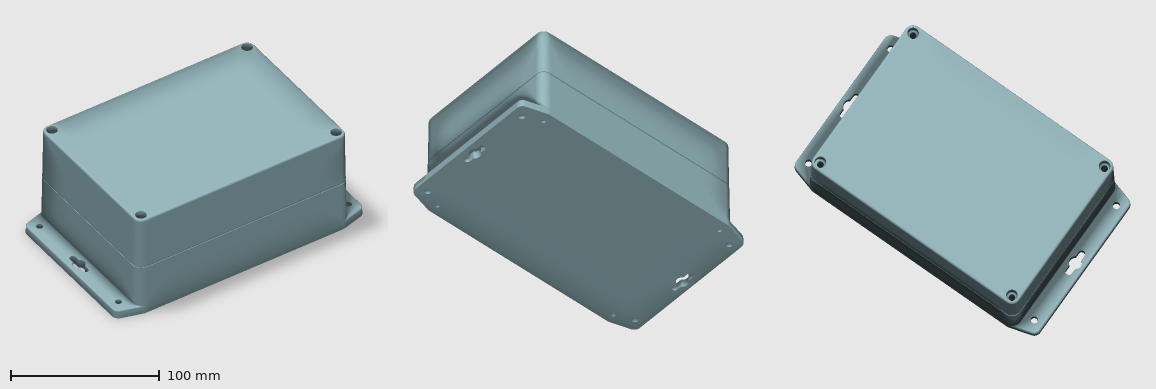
import cadquery as cq
import math

WIDTH = 122.5
BOX_LENGTH = 172.0
TOTAL_LENGTH = 201.0
HEIGHT = 80.0
BASE_HEIGHT = 40.5
DRAFT = 1.0
CORNER_RADIUS = 7.2
LID_FILLET = 1.5

GROOVE_HEIGHT = 1.5
GROOVE_DEPTH = 0.5

FLANGE_HEIGHT = 6.6
FLANGE_FILLET = 1.2
WALL_FILLET = 0.5
FLANGE_END_WIDTH = 111.0
SLANT_START = 80.5
FLANGE_CORNER_RADIUS = 5.0
SLANT_BLEND_RADIUS = 5.5

MOUNT_Y = 92.9
MOUNT_HOLE_X = 47.8
MOUNT_HOLE_DIAMETER = 4.8
SLOT_LENGTH = 19.5
SLOT_WIDTH = 4.6
SLOT_CENTER_DIAMETER = 8.8

SCREW_X = WIDTH / 2 - CORNER_RADIUS
SCREW_Y = BOX_LENGTH / 2 - CORNER_RADIUS
SCREW_HEAD_DIAMETER = 7.8
SCREW_HEAD_DEPTH = 8.0
SCREW_CLEARANCE_DIAMETER = 4.6
SCREW_PILOT_DIAMETER = 3.5

SCREW_POINTS = [(sx * SCREW_X, sy * SCREW_Y) for sx in (-1, 1) for sy in (-1, 1)]


def drafted_block(bottom, top, inset=0.0):
    """Slice of the drafted, round-cornered box between two heights."""
    shrink = inset + bottom * math.tan(math.radians(DRAFT))
    outline = cq.Sketch().rect(WIDTH - 2 * shrink, BOX_LENGTH - 2 * shrink)
    outline = outline.vertices().fillet(CORNER_RADIUS - shrink)
    block = cq.Workplane("XY").workplane(offset=bottom).placeSketch(outline)
    return block.extrude(top - bottom, taper=DRAFT)


def flange_plate():
    """Bottom plate whose two tapering ends stand out past the box."""
    end_x = FLANGE_END_WIDTH / 2
    end_y = TOTAL_LENGTH / 2
    side_x = WIDTH / 2
    outline = cq.Sketch().polygon([
        (-side_x, -SLANT_START), (-end_x, -end_y), (end_x, -end_y), (side_x, -SLANT_START),
        (side_x, SLANT_START), (end_x, end_y), (-end_x, end_y), (-side_x, SLANT_START),
        (-side_x, -SLANT_START),
    ])
    outline = outline.vertices(">Y or <Y").fillet(FLANGE_CORNER_RADIUS).reset()
    outline = outline.vertices(">X or <X").fillet(SLANT_BLEND_RADIUS).reset()
    plate = cq.Workplane("XY").placeSketch(outline).extrude(FLANGE_HEIGHT, taper=DRAFT)
    return plate.faces(">Z").edges().fillet(FLANGE_FILLET)


def mounting_slot(y):
    """Cutter for the slot with a wider round middle."""
    slot = cq.Workplane("XY").center(0, y).slot2D(SLOT_LENGTH, SLOT_WIDTH).extrude(FLANGE_HEIGHT)
    middle = cq.Workplane("XY").center(0, y).circle(SLOT_CENTER_DIAMETER / 2).extrude(FLANGE_HEIGHT)
    return slot.union(middle)


def make_base():
    """Lower half with the shadow groove, flanges and screw pilot holes."""
    groove_bottom = BASE_HEIGHT - GROOVE_HEIGHT
    base = drafted_block(0, groove_bottom)
    base = base.union(drafted_block(groove_bottom, BASE_HEIGHT, GROOVE_DEPTH))
    base = base.union(flange_plate())
    for y in (-BOX_LENGTH / 2, BOX_LENGTH / 2):
        foot = cq.NearestToPointSelector((0, y, FLANGE_HEIGHT))
        base = base.edges(foot).fillet(WALL_FILLET)

    mount_points = [(sx * MOUNT_HOLE_X, sy * MOUNT_Y) for sx in (-1, 1) for sy in (-1, 1)]
    mount_holes = cq.Workplane("XY").pushPoints(mount_points)
    base = base.cut(mount_holes.circle(MOUNT_HOLE_DIAMETER / 2).extrude(FLANGE_HEIGHT))
    for y in (-MOUNT_Y, MOUNT_Y):
        base = base.cut(mounting_slot(y))

    pilots = cq.Workplane("XY").pushPoints(SCREW_POINTS)
    return base.cut(pilots.circle(SCREW_PILOT_DIAMETER / 2).extrude(BASE_HEIGHT))


def make_lid():
    """Upper half with a rounded top edge and counterbored screw holes."""
    lid = drafted_block(BASE_HEIGHT, HEIGHT)
    lid = lid.faces(">Z").edges().fillet(LID_FILLET)
    shanks = cq.Workplane("XY").workplane(offset=BASE_HEIGHT).pushPoints(SCREW_POINTS)
    lid = lid.cut(shanks.circle(SCREW_CLEARANCE_DIAMETER / 2).extrude(HEIGHT - BASE_HEIGHT))
    heads = cq.Workplane("XY").workplane(offset=HEIGHT - SCREW_HEAD_DEPTH).pushPoints(SCREW_POINTS)
    return lid.cut(heads.circle(SCREW_HEAD_DIAMETER / 2).extrude(SCREW_HEAD_DEPTH))


base = make_base()
lid = make_lid()

result = cq.Compound.makeCompound([base.val(), lid.val()])